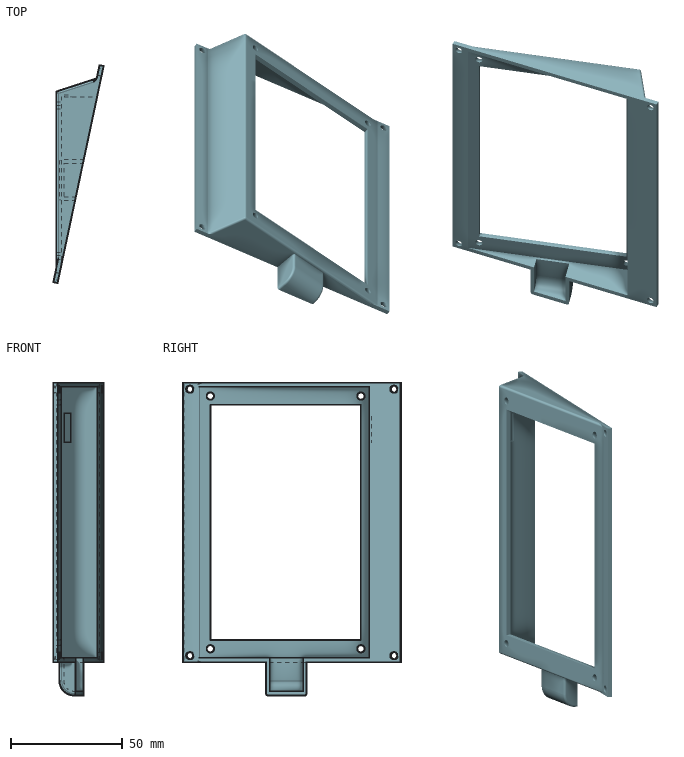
import cadquery as cq
import math

tilt = 12.0
plate_length = 100.0
plate_thickness = 2.0
height = 126.0
front_x = 1.3
front_thickness = 2.2
front_corner_y = 86.3
end_wall_angle = 18.0
edge_radius = 1.0
root_radius = 1.0

cavity_wall = 2.0
cavity_end_y = 83.9

window_width = 67.6
window_height = 105.8
window_center_y = 46.25

hole_diameter = 3.2
front_hole_pitch_y = 67.8
front_hole_pitch_z = 113.8
flange_hole_inset = 3.0

recess_near_x = 5.0
recess_far_x = 7.8
recess_depth = 1.0
recess_height = 13.0
recess_top_offset = 13.9

spout_near_y = 37.4
spout_far_y = 55.7
spout_front_x = 2.7
spout_drop = 15.0
spout_corner_radius = 6.8
spout_edge_radius = 1.0
spout_wall = 1.6
spout_floor = 2.0

tilt_sin = math.sin(math.radians(tilt))
tilt_cos = math.cos(math.radians(tilt))
tilt_tan = tilt_sin / tilt_cos
corner_y = plate_thickness * tilt_sin
back_offset = plate_thickness * tilt_cos
front_offset = -corner_y * tilt_tan
mid_z = height / 2
cavity_front_x = front_x + front_thickness
reach = 2 * plate_length


def plate_point(along, depth):
    """XY point at a distance along the sloped plate and a depth behind its front surface."""
    x = along * tilt_sin + depth * tilt_cos
    y = corner_y + along * tilt_cos - depth * tilt_sin
    return (x, y)


def back_x(y):
    """X of the sloped back surface at a given Y."""
    return back_offset + y * tilt_tan


def back_y(x):
    """Y of the sloped back surface at a given X."""
    return (x - back_offset) / tilt_tan


def end_wall_point(plane_x):
    """XY point where the end wall meets a plane parallel to the sloped plate that has this X at Y = 0."""
    wall_tan = math.tan(math.radians(end_wall_angle))
    wall_y_at_zero = front_corner_y - front_x * wall_tan
    x = (plane_x + wall_y_at_zero * tilt_tan) / (1 - wall_tan * tilt_tan)
    return (x, wall_y_at_zero + x * wall_tan)


def box(x_range, y_range, z_range):
    """Axis-aligned box between pairs of limits."""
    sizes = [high - low for low, high in (x_range, y_range, z_range)]
    corner = (x_range[0], y_range[0], z_range[0])
    return cq.Workplane("XY").box(*sizes, centered=False).translate(corner)


def make_plate():
    """Sloped back plate, full height."""
    corners = [
        plate_point(0, 0),
        plate_point(plate_length, 0),
        plate_point(plate_length, plate_thickness),
        plate_point(0, plate_thickness),
    ]
    return cq.Workplane("XY").polyline(corners).close().extrude(height)


def make_wedge():
    """Solid wedge between the front face and the sloped back, rounded on its outer edges."""
    along_start = front_x / tilt_sin
    corners = [
        plate_point(along_start, 0),
        (front_x, front_corner_y),
        end_wall_point(back_offset),
        plate_point(along_start, plate_thickness),
    ]
    wedge = cq.Workplane("XY").polyline(corners).close().extrude(height)
    front_edges = wedge.faces("<X").edges("|Y or >Y")
    end_edges = wedge.faces(">Y").edges("not |Z")
    return wedge.newObject(front_edges.vals() + end_edges.vals()).fillet(edge_radius)


def round_wall_root(body):
    """Round the inside corner where the end wall meets the sloped plate."""
    root_x, root_y = end_wall_point(front_offset)
    near_root = cq.selectors.BoxSelector(
        (root_x - root_radius, root_y - root_radius, 0),
        (root_x + root_radius, root_y + root_radius, height),
    )
    return body.edges("|Z").edges(near_root).fillet(root_radius)


def make_back_cut():
    """Everything behind the sloped back surface."""
    corners = [
        (back_x(-reach), -reach),
        (back_x(reach), reach),
        (reach, reach),
        (reach, -reach),
    ]
    return cq.Workplane("XY").workplane(offset=-reach).polyline(corners).close().extrude(2 * reach)


def make_spout():
    """Hanging spout with a rounded lower front corner and rounded outer edges."""
    body = box(
        (spout_front_x, back_x(spout_far_y)),
        (spout_near_y, spout_far_y),
        (-spout_drop, cavity_wall),
    )
    body = body.edges("<X and <Z").fillet(spout_corner_radius)
    body = body.faces("<X").edges("|Z").fillet(spout_edge_radius)
    return body.cut(make_back_cut())


def make_spout_channel():
    """Passage from the cavity down through the spout, open at the back."""
    channel = box(
        (spout_front_x + spout_floor, reach),
        (spout_near_y + spout_wall, spout_far_y - spout_wall),
        (spout_floor - spout_drop, mid_z),
    )
    return channel.edges("<X and <Z").fillet(spout_corner_radius - spout_floor)


def make_cavity():
    """Box-shaped hollow behind the front face, open at the back."""
    return box(
        (cavity_front_x, reach),
        (back_y(cavity_front_x), cavity_end_y),
        (cavity_wall, height - cavity_wall),
    )


def make_window():
    """Rectangular opening through the front face."""
    half_width = window_width / 2
    half_height = window_height / 2
    return box(
        (0, cavity_front_x),
        (window_center_y - half_width, window_center_y + half_width),
        (mid_z - half_height, mid_z + half_height),
    )


def make_recess():
    """Shallow upright recess in the end wall of the cavity."""
    recess_top = height - recess_top_offset
    return box(
        (recess_near_x, recess_far_x),
        (cavity_end_y, cavity_end_y + recess_depth),
        (recess_top - recess_height, recess_top),
    )


def make_front_holes():
    """Four screw holes at the corners of the front face."""
    return (
        cq.Workplane("YZ")
        .center(window_center_y, mid_z)
        .rect(front_hole_pitch_y, front_hole_pitch_z, forConstruction=True)
        .vertices()
        .circle(hole_diameter / 2)
        .extrude(cavity_front_x)
    )


def make_flange_holes():
    """Four screw holes square to the sloped plate, near its corners."""
    center_x, center_y = plate_point(plate_length / 2, 0)
    plane = cq.Plane(
        origin=(center_x, center_y, mid_z),
        xDir=(tilt_sin, tilt_cos, 0),
        normal=(tilt_cos, -tilt_sin, 0),
    )
    return (
        cq.Workplane(plane)
        .rect(plate_length - 2 * flange_hole_inset, height - 2 * flange_hole_inset, forConstruction=True)
        .vertices()
        .circle(hole_diameter / 2)
        .extrude(plate_thickness, both=True)
    )


frame = round_wall_root(make_plate().union(make_wedge())).union(make_spout())
for cutter in (
    make_cavity(),
    make_spout_channel(),
    make_window(),
    make_recess(),
    make_front_holes(),
    make_flange_holes(),
):
    frame = frame.cut(cutter)
result = frame